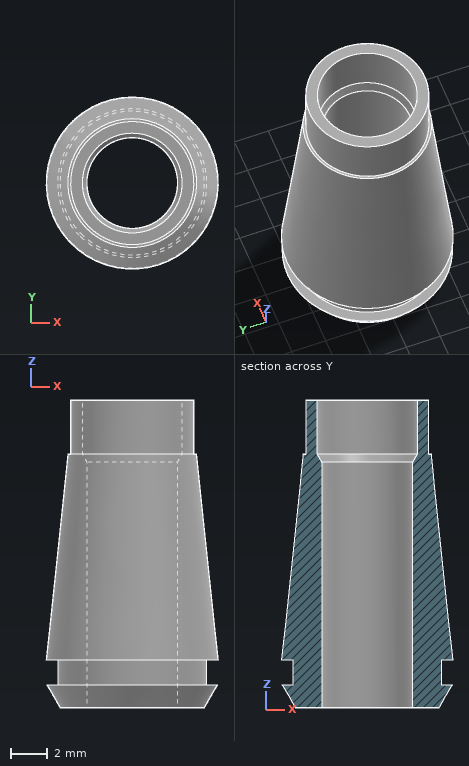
import cadquery as cq

total_height = 17.0
flange_height = 1.28
skirt_bottom = 2.64
collar_height = 3.0
skirt_top = total_height - collar_height

outer_diameter = 9.5
flange_bottom_radius = 3.98
flange_top_radius = 4.71
neck_radius = 4.11
skirt_bottom_radius = outer_diameter / 2
skirt_top_radius = 3.55
collar_radius = 3.4

bore_radius = 2.5
counterbore_radius = 2.75
counterbore_bottom = skirt_top
bore_cone_height = 0.45

half_section = (
    cq.Workplane("YZ")
    .moveTo(bore_radius, 0)
    .lineTo(flange_bottom_radius, 0)
    .lineTo(flange_top_radius, flange_height)
    .lineTo(neck_radius, flange_height)
    .lineTo(neck_radius, skirt_bottom)
    .lineTo(skirt_bottom_radius, skirt_bottom)
    .lineTo(skirt_top_radius, skirt_top)
    .lineTo(collar_radius, skirt_top)
    .lineTo(collar_radius, total_height)
    .lineTo(counterbore_radius, total_height)
    .lineTo(counterbore_radius, counterbore_bottom)
    .lineTo(bore_radius, counterbore_bottom - bore_cone_height)
    .close()
)

result = half_section.revolve(360, (0, 0, 0), (0, 1, 0))